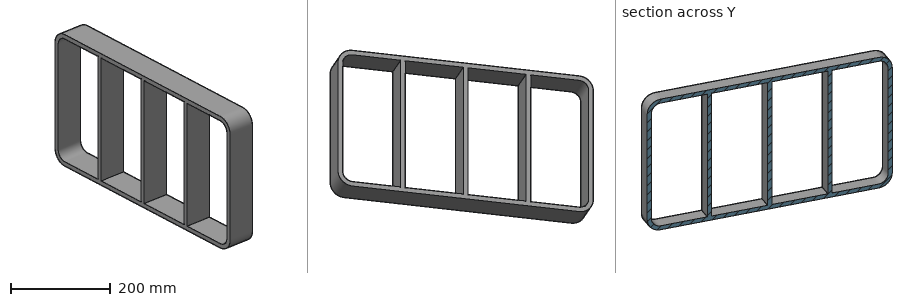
import cadquery as cq

length = 532.0
depth = 60.0
height = 298.0

wall = 10.0
outer_radius = 30.0
inner_radius = outer_radius - wall

divider_count = 3
divider_thickness = 10.0
opening_length = length - 2 * wall
opening_height = height - 2 * wall
bay_length = (opening_length - divider_count * divider_thickness) / (divider_count + 1)
divider_pitch = bay_length + divider_thickness


def rounded_block(size_x, size_z, radius):
    """Block of full depth, centred on the origin, with its four Y edges rounded."""
    return cq.Workplane("XY").box(size_x, depth, size_z).edges("|Y").fillet(radius)


def divider(index):
    """Upright plate joining the bottom wall to the top wall."""
    x = (index - (divider_count - 1) / 2) * divider_pitch
    return cq.Workplane("XY").box(divider_thickness, depth, opening_height).translate((x, 0, 0))


outer_block = rounded_block(length, height, outer_radius)
opening = rounded_block(opening_length, opening_height, inner_radius)
result = outer_block.cut(opening)

for index in range(divider_count):
    result = result.union(divider(index))